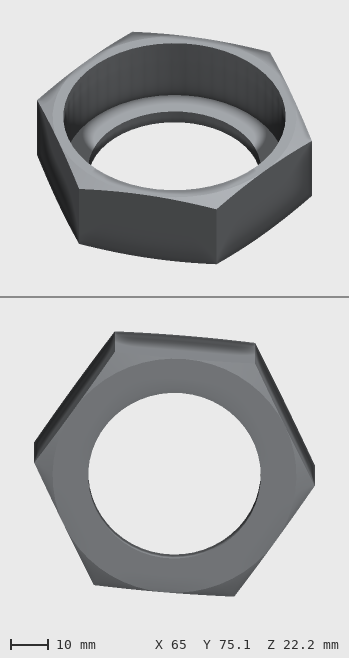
import cadquery as cq
import math

across_corners = 75.05
across_flats = across_corners * math.cos(math.radians(30))
height = 22.2

chamfer_angle = 15.0
chamfer_width = (across_corners - across_flats) / 2
chamfer_drop = chamfer_width * math.tan(math.radians(chamfer_angle))

through_diameter = 46.0
bore_diameter = 59.3
floor_thickness = 3.8


def hexagonal_body():
    """Hexagonal prism with its corners along Y and its base at Z = 0."""
    return (
        cq.Workplane("XY")
        .polygon(6, across_corners)
        .extrude(height)
        .rotate((0, 0, 0), (0, 0, 1), 90)
    )


def chamfer_envelope():
    """Bevelling solid, revolved around Z from its half section."""
    inner = across_flats / 2
    outer = across_corners / 2
    return (
        cq.Workplane("XZ")
        .moveTo(0, 0)
        .lineTo(inner, 0)
        .lineTo(outer, chamfer_drop)
        .lineTo(outer, height - chamfer_drop)
        .lineTo(inner, height)
        .lineTo(0, height)
        .close()
        .revolve(360, (0, 0, 0), (0, 1, 0))
    )


def stepped_bore():
    """Through hole with a wider bore above the floor."""
    through_hole = cq.Workplane("XY").circle(through_diameter / 2).extrude(height)
    wide_bore = (
        cq.Workplane("XY", origin=(0, 0, floor_thickness))
        .circle(bore_diameter / 2)
        .extrude(height - floor_thickness)
    )
    return through_hole.union(wide_bore)


result = hexagonal_body().intersect(chamfer_envelope()).cut(stepped_bore())